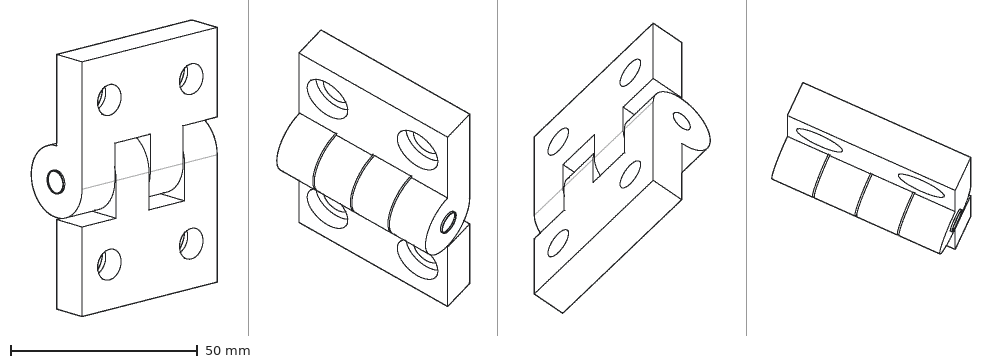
import cadquery as cq

overall_height = 71.0
half_height = overall_height / 2
leaf_thickness = 10.0
knuckle_radius = leaf_thickness
knuckle_count = 4
knuckle_length = 12.0
knuckle_gap = 0.5
knuckle_pitch = knuckle_length + knuckle_gap
leaf_width = knuckle_count * knuckle_pitch - knuckle_gap
leaf_edge = knuckle_radius + knuckle_gap

pin_diameter = 6.45
pin_bore = 5.95
pin_protrusion = 0.5

hole_diameter = 8.5
counterbore_diameter = 13.5
counterbore_depth = 4.0
hole_height = 22.9
hole_pitch = 29.95
first_hole_y = 10.0


def cylinder_y(diameter, start, length):
    """Cylinder on the hinge axis, running from start toward +Y."""
    return cq.Workplane("XZ", origin=(0, start, 0)).circle(diameter / 2).extrude(-length)


def leaf(side):
    """Plate on the upper (+1) or lower (-1) side, clear of the knuckles."""
    height = half_height - leaf_edge
    plate = cq.Workplane("XY").box(leaf_thickness, leaf_width, height, centered=(False, False, True))
    return plate.translate((0, 0, side * (leaf_edge + height / 2)))


def knuckle(index, side):
    """Round barrel with a full-thickness web joining it to its leaf."""
    start = index * knuckle_pitch
    barrel = cylinder_y(2 * knuckle_radius, start, knuckle_length)
    web = cq.Workplane("XY").box(leaf_thickness, knuckle_length, leaf_edge, centered=(False, False, True))
    return barrel.union(web.translate((0, start, side * leaf_edge / 2)))


def screw_hole(y, z):
    """Cutter for a through hole counterbored from the -X face of the leaf."""
    face = cq.Workplane("YZ", origin=(0, y, z))
    through = face.circle(hole_diameter / 2).extrude(leaf_thickness)
    return through.union(face.circle(counterbore_diameter / 2).extrude(counterbore_depth))


hinge = leaf(1).union(leaf(-1))
for index in range(knuckle_count):
    side = 1 if index % 2 == 0 else -1
    hinge = hinge.union(knuckle(index, side))

pin_length = leaf_width + pin_protrusion
hinge = hinge.union(cylinder_y(pin_diameter, -pin_protrusion, pin_length))
hinge = hinge.cut(cylinder_y(pin_bore, -pin_protrusion, pin_length))

for side in (1, -1):
    for y in (first_hole_y, first_hole_y + hole_pitch):
        hinge = hinge.cut(screw_hole(y, side * hole_height))

result = hinge